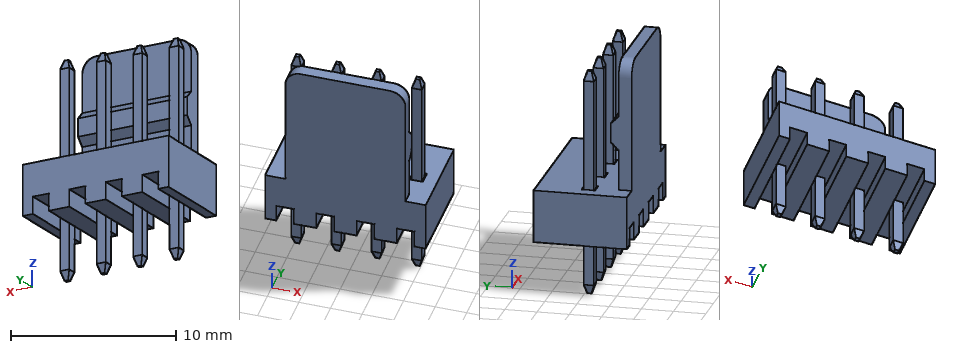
import cadquery as cq

total_height = 14.9
pin_drop = 3.4
base_height = 3.31

base_width = 10.16
base_depth = 5.8

pin_count = 4
pin_pitch = base_width / pin_count
pin_size = 0.64
pin_tip_size = 0.25
pin_tip_height = 0.6
pin_y = 2.6
pin_top_gap = 0.7
lead_in_size = 0.83
lead_in_depth = (lead_in_size - pin_size) / 2

slot_width = 1.12
slot_height = 1.12

wall_width = 7.6
wall_thickness = 0.8
wall_corner_radius = 1.0
catch_protrusion = 0.5
catch_start = 2.5
catch_height = 2.19

wall_top = total_height - pin_drop
pin_bottom = -pin_drop
pin_top = wall_top - pin_top_gap
pin_positions = [(i - (pin_count - 1) / 2) * pin_pitch for i in range(pin_count)]


def square_frustum(x, z, start_size, end_size, height):
    """Square taper on a pin axis; a negative height runs downward."""
    return (
        cq.Workplane("XY", origin=(x, pin_y, z))
        .rect(start_size, start_size)
        .workplane(offset=height)
        .rect(end_size, end_size)
        .loft(ruled=True)
    )


def make_base():
    base = cq.Workplane("XY").box(base_width, base_depth, base_height, centered=(True, False, False))
    for x in pin_positions:
        slot = (
            cq.Workplane("XY", origin=(x, 0, 0))
            .box(slot_width, base_depth, slot_height, centered=(True, False, False))
        )
        lead_in = square_frustum(x, base_height, lead_in_size, pin_size, -lead_in_depth)
        base = base.cut(slot).cut(lead_in)
    return base


def make_wall():
    wall = (
        cq.Workplane("XY")
        .box(wall_width, wall_thickness, wall_top, centered=(True, False, False))
        .edges("|Y and >Z")
        .fillet(wall_corner_radius)
    )
    below_base_top = cq.Workplane("XY").box(
        base_width, base_depth, base_height, centered=(True, False, False)
    )
    return wall.cut(below_base_top)


def make_catch():
    """Ridge along the inner face of the wall, with 45 degree flanks."""
    bottom = base_height + catch_start
    top = bottom + catch_height
    crest_y = wall_thickness + catch_protrusion
    return (
        cq.Workplane("YZ", origin=(-wall_width / 2, 0, 0))
        .polyline([
            (0, bottom),
            (wall_thickness, bottom),
            (crest_y, bottom + catch_protrusion),
            (crest_y, top - catch_protrusion),
            (wall_thickness, top),
            (0, top),
        ])
        .close()
        .extrude(wall_width)
    )


def make_pin(x):
    shank_bottom = pin_bottom + pin_tip_height
    shank_top = pin_top - pin_tip_height
    shank = (
        cq.Workplane("XY", origin=(x, pin_y, shank_bottom))
        .rect(pin_size, pin_size)
        .extrude(shank_top - shank_bottom)
    )
    upper_tip = square_frustum(x, shank_top, pin_size, pin_tip_size, pin_tip_height)
    lower_tip = square_frustum(x, shank_bottom, pin_size, pin_tip_size, -pin_tip_height)
    return shank.union(upper_tip).union(lower_tip)


result = make_base().union(make_wall()).union(make_catch())
for pin_x in pin_positions:
    result = result.union(make_pin(pin_x))